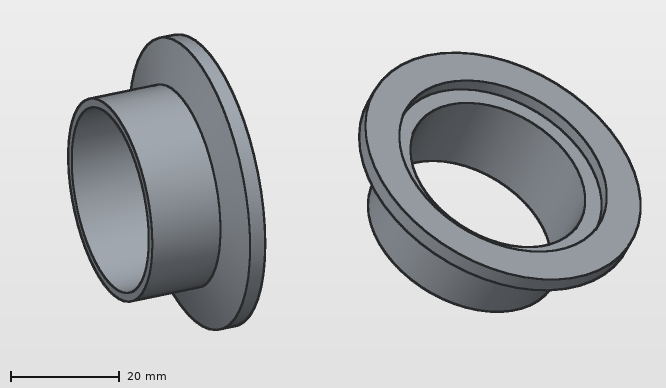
import cadquery as cq
import math

flange_diameter = 54.85
tube_outer_diameter = 38.15
bore_diameter = 34.85
total_length = 19.05
rim_thickness = 3.05
recess_diameter = 41.35
recess_depth = 2.5
cone_angle = 15.0

flange_radius = flange_diameter / 2
tube_radius = tube_outer_diameter / 2
bore_radius = bore_diameter / 2
recess_radius = recess_diameter / 2
cone_height = (flange_radius - tube_radius) * math.tan(math.radians(cone_angle))

tube_end = -total_length / 2
flange_face = total_length / 2
recess_floor = flange_face - recess_depth
cone_base = flange_face - rim_thickness
cone_top = cone_base - cone_height

half_section = (
    cq.Workplane("XY")
    .moveTo(bore_radius, tube_end)
    .lineTo(tube_radius, tube_end)
    .lineTo(tube_radius, cone_top)
    .lineTo(flange_radius, cone_base)
    .lineTo(flange_radius, flange_face)
    .lineTo(recess_radius, flange_face)
    .lineTo(recess_radius, recess_floor)
    .lineTo(bore_radius, recess_floor)
    .close()
)

result = half_section.revolve(360, (0, 0, 0), (0, 1, 0))